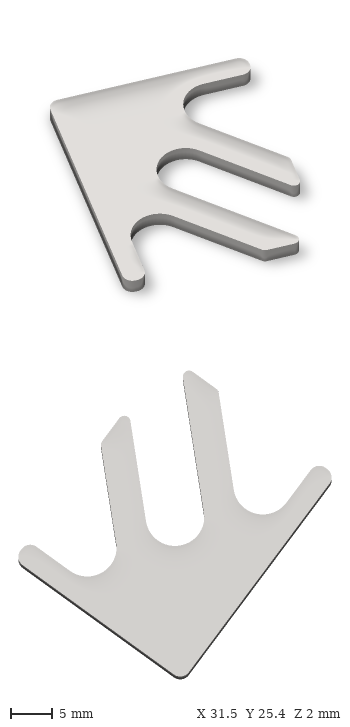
import cadquery as cq
import math

length = 31.5
width = 25.4
thickness = 2.0

arm_width = 2.85
arm_corner_radius = 1.3

notch_radius = 3.55
finger_angle = 45.0
finger_corner_radius = 0.75

upper_notch = (arm_width + notch_radius, 19.05)
lower_notch = (25.2, arm_width + notch_radius)
middle_notch = (length / 2, width / 2)


def on_notch(center, angle):
    """Point on a notch's rim at an angle in degrees from +X."""
    a = math.radians(angle)
    return (center[0] + notch_radius * math.cos(a), center[1] + notch_radius * math.sin(a))


def at_height(point, y):
    """Where the finger edge through a point reaches height y."""
    return (point[0] + (y - point[1]) / math.tan(math.radians(finger_angle)), y)


def at_length(point, x):
    """Where the finger edge through a point reaches position x."""
    return (x, point[1] + (x - point[0]) * math.tan(math.radians(finger_angle)))


upper_side = finger_angle + 90
lower_side = finger_angle - 90
notch_bottom = finger_angle + 180

upper_notch_end = on_notch(upper_notch, lower_side)
middle_notch_start = on_notch(middle_notch, upper_side)
middle_notch_end = on_notch(middle_notch, lower_side)
lower_notch_start = on_notch(lower_notch, upper_side)

upper_finger_tip = [at_height(upper_notch_end, width), at_height(middle_notch_start, width)]
lower_finger_tip = [at_length(middle_notch_end, length), at_length(lower_notch_start, length)]

plate = (
    cq.Workplane("XY")
    .moveTo(0, 0)
    .lineTo(0, width)
    .lineTo(arm_width, width)
    .lineTo(arm_width, upper_notch[1])
    .threePointArc(on_notch(upper_notch, notch_bottom), upper_notch_end)
    .lineTo(*upper_finger_tip[0])
    .lineTo(*upper_finger_tip[1])
    .lineTo(*middle_notch_start)
    .threePointArc(on_notch(middle_notch, notch_bottom), middle_notch_end)
    .lineTo(*lower_finger_tip[0])
    .lineTo(*lower_finger_tip[1])
    .lineTo(*lower_notch_start)
    .threePointArc(on_notch(lower_notch, notch_bottom), (lower_notch[0], arm_width))
    .lineTo(length, arm_width)
    .lineTo(length, 0)
    .close()
    .extrude(thickness)
)


def round_corners(body, corners, radius):
    """Fillet the upright edges standing at the given corners."""
    edges = [
        body.edges(cq.selectors.NearestToPointSelector((x, y, thickness / 2))).val()
        for x, y in corners
    ]
    return body.newObject(edges).fillet(radius)


arm_corners = [(0, 0), (0, width), (arm_width, width), (length, arm_width), (length, 0)]
plate = round_corners(plate, arm_corners, arm_corner_radius)
result = round_corners(plate, upper_finger_tip + lower_finger_tip, finger_corner_radius)